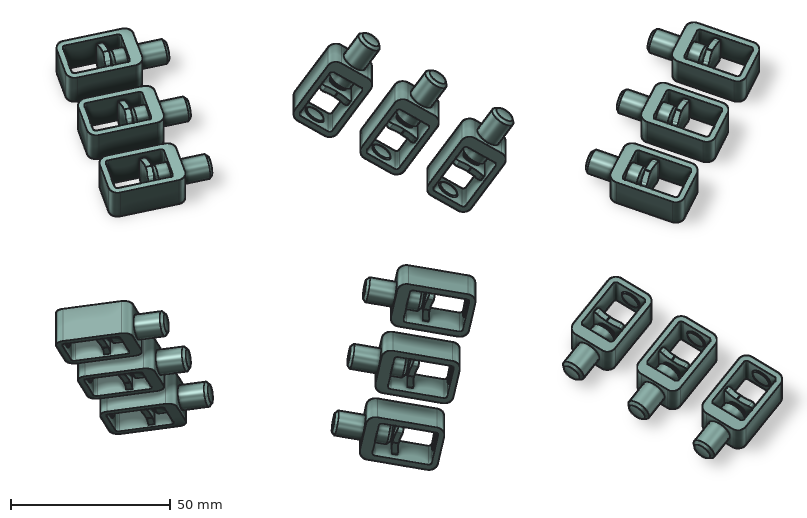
import cadquery as cq
import math

ROW_LENGTH = 66.0
CLAMP_COUNT = 3

FRAME_WIDTH = 16.0
FRAME_DEPTH = 25.0
FRAME_HEIGHT = 11.4
SIDE_WALL = 2.0
FRONT_WALL = 2.0
BACK_WALL = 4.0
OUTER_CORNER_RADIUS = 3.0
WINDOW_CORNER_RADIUS = 1.0

SEAT_BASE_RADIUS = 3.5
SEAT_TOP_RADIUS = 3.1
SEAT_HEIGHT = 0.4

SCREW_RADIUS = 4.0
SCREW_CHAMFER = 1.0
SCREW_END_Y = 34.5
SCREW_LENGTH = 18.55
NECK_RADIUS = SCREW_RADIUS - SCREW_CHAMFER

PLATE_WIDTH = 10.8
PLATE_HEIGHT = 11.7
PLATE_THICKNESS = 2.0
PLATE_BACK_Y = 15.6
PLATE_BACK_BEND_RADIUS = 16.8
PLATE_FRONT_BEND_RADIUS = 13.2
PLATE_CORNER_RADIUS = 1.5
FOOT_INNER_X = 3.8
EDGE_STEP_RUN = 0.2
EDGE_STEP_DROP = 0.1
EDGE_TILT = 10.0

clamp_pitch = (ROW_LENGTH - FRAME_WIDTH) / (CLAMP_COUNT - 1)
screw_inner_y = SCREW_END_Y - SCREW_LENGTH


def disc_along_y(radius, start_y, length):
    """Cylinder on the screw axis, from start_y toward +Y."""
    return cq.Workplane("XZ", origin=(0, start_y, 0)).circle(radius).extrude(-length)


def make_frame():
    """Rounded ring with its front face on Y = 0, centred on X = 0 and Z = 0."""
    window_width = FRAME_WIDTH - 2 * SIDE_WALL
    window_depth = FRAME_DEPTH - FRONT_WALL - BACK_WALL
    block = (
        cq.Workplane("XY")
        .box(FRAME_WIDTH, FRAME_DEPTH, FRAME_HEIGHT)
        .edges("|Z")
        .fillet(OUTER_CORNER_RADIUS)
        .translate((0, FRAME_DEPTH / 2, 0))
    )
    window = (
        cq.Workplane("XY")
        .box(window_width, window_depth, FRAME_HEIGHT)
        .edges("|Z")
        .fillet(WINDOW_CORNER_RADIUS)
        .translate((0, FRONT_WALL + window_depth / 2, 0))
    )
    return block.cut(window)


def make_seat():
    """Truncated cone on the front wall, rooted inside the wall."""
    return (
        cq.Workplane("XY")
        .moveTo(0, FRONT_WALL / 2)
        .lineTo(SEAT_BASE_RADIUS, FRONT_WALL / 2)
        .lineTo(SEAT_BASE_RADIUS, FRONT_WALL)
        .lineTo(SEAT_TOP_RADIUS, FRONT_WALL + SEAT_HEIGHT)
        .lineTo(0, FRONT_WALL + SEAT_HEIGHT)
        .close()
        .revolve(360, (0, 0, 0), (0, 1, 0))
    )


def make_screw():
    """Shank chamfered at both ends, with a neck that runs into the plate."""
    shank = disc_along_y(SCREW_RADIUS, screw_inner_y, SCREW_LENGTH).faces("<Y or >Y").chamfer(SCREW_CHAMFER)
    neck_start_y = PLATE_BACK_Y - PLATE_THICKNESS / 2
    neck = disc_along_y(NECK_RADIUS, neck_start_y, screw_inner_y - neck_start_y)
    return shank.union(neck)


def make_plate():
    """Bent plate whose top and bottom edges are each stepped in the middle, alike after half a turn about Y."""
    half_width = PLATE_WIDTH / 2
    half_height = PLATE_HEIGHT / 2
    step_z = half_height - EDGE_STEP_DROP
    low_corner_z = step_z - (half_width - EDGE_STEP_RUN) * math.tan(math.radians(EDGE_TILT))
    outline = (
        cq.Workplane("XZ")
        .moveTo(0, half_height)
        .lineTo(half_width, half_height)
        .lineTo(half_width, -low_corner_z)
        .lineTo(EDGE_STEP_RUN, -step_z)
        .lineTo(0, -half_height)
        .lineTo(-half_width, -half_height)
        .lineTo(-half_width, low_corner_z)
        .lineTo(-EDGE_STEP_RUN, step_z)
        .close()
        .extrude(-FRAME_DEPTH)
        .edges("|Y and (<X or >X)")
        .fillet(PLATE_CORNER_RADIUS)
    )
    back_drop = bend_drop(PLATE_BACK_BEND_RADIUS, half_width)
    front_y = PLATE_BACK_Y - PLATE_THICKNESS
    foot_y = front_y - bend_drop(PLATE_FRONT_BEND_RADIUS, FOOT_INNER_X)
    bent_slab = (
        cq.Workplane("XY", origin=(0, 0, -half_height))
        .moveTo(-half_width, PLATE_BACK_Y - back_drop)
        .threePointArc((0, PLATE_BACK_Y), (half_width, PLATE_BACK_Y - back_drop))
        .lineTo(half_width, foot_y)
        .lineTo(FOOT_INNER_X, foot_y)
        .threePointArc((0, front_y), (-FOOT_INNER_X, foot_y))
        .lineTo(-half_width, foot_y)
        .close()
        .extrude(PLATE_HEIGHT)
    )
    return outline.intersect(bent_slab)


def bend_drop(radius, x):
    """Distance along Y that an arc of this radius falls away at x from its crown."""
    return radius - math.sqrt(radius**2 - x**2)


def make_clamp():
    """Frame, seat, screw and plate as one solid."""
    return make_frame().union(make_seat()).union(make_screw()).union(make_plate())


clamps = []
for index in range(CLAMP_COUNT):
    offset_x = (index - (CLAMP_COUNT - 1) / 2) * clamp_pitch
    clamps.append(make_clamp().translate((offset_x, 0, 0)).val())

result = cq.Compound.makeCompound(clamps)